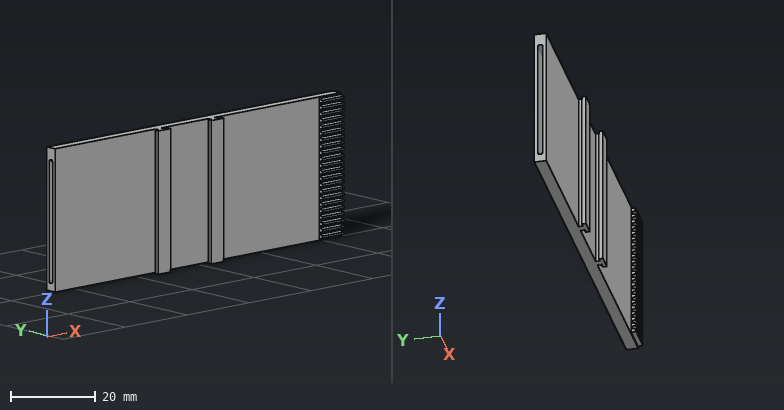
import cadquery as cq
import math

PLATE_LENGTH = 92.5
PLATE_THICKNESS = 3.0
PLATE_HEIGHT = 35.0

RAIL_CENTERS_X = (33.5, 50.6)
STEM_WIDTH = 2.0
STEM_DEPTH = 1.0
HEAD_WIDTH = 4.0
HEAD_DEPTH = 1.0

SLOT_WIDTH = 1.2
SLOT_HEIGHT = 30.1
SLOT_BOTTOM = 1.9

GRIP_LENGTH = 7.0
GRIP_END_GAP = 0.1
GRIP_DEPTH = 1.1
GRIP_BASE_DEPTH = 0.05
RIB_COUNT = 22
RIB_PITCH = 1.6
RIB_SPAN = (RIB_COUNT - 1) * RIB_PITCH
RIB_TIP_WIDTH = 0.6
RIB_FLANK_ANGLE = 15
RIB_FLANK_RUN = (GRIP_DEPTH - GRIP_BASE_DEPTH) * math.tan(math.radians(RIB_FLANK_ANGLE))
RIB_ROOT_WIDTH = RIB_TIP_WIDTH + 2 * RIB_FLANK_RUN


def front_block(center_x, width, start_depth, depth):
    """Full-height block in front of the plate, from start_depth outward."""
    return cq.Workplane("XY").box(width, depth, PLATE_HEIGHT, centered=(True, False, False)).translate(
        (center_x, -start_depth - depth, 0)
    )


def make_rail(center_x):
    """T-shaped rail: a narrow stem that carries a wider head."""
    stem = front_block(center_x, STEM_WIDTH, 0, STEM_DEPTH)
    head = front_block(center_x, HEAD_WIDTH, STEM_DEPTH, HEAD_DEPTH)
    return stem.union(head)


def make_slot_cutter():
    """Upright round-ended bar along the whole plate length."""
    slot_center_y = PLATE_THICKNESS / 2
    slot_center_z = SLOT_BOTTOM + SLOT_HEIGHT / 2
    return (
        cq.Workplane("YZ")
        .center(slot_center_y, slot_center_z)
        .slot2D(SLOT_HEIGHT, SLOT_WIDTH, 90)
        .extrude(PLATE_LENGTH)
    )


def make_plate():
    """Slotted plate with its two rails."""
    plate = cq.Workplane("XY").box(PLATE_LENGTH, PLATE_THICKNESS, PLATE_HEIGHT, centered=False)
    for center_x in RAIL_CENTERS_X:
        plate = plate.union(make_rail(center_x))
    return plate.cut(make_slot_cutter())


def make_grip():
    """Strip of flat-tipped ribs, extruded along X from its side profile."""
    first_rib_z = (PLATE_HEIGHT - RIB_SPAN) / 2
    last_rib_z = first_rib_z + RIB_SPAN
    profile = [(0, first_rib_z - RIB_ROOT_WIDTH / 2)]
    for index in range(RIB_COUNT):
        rib_z = first_rib_z + index * RIB_PITCH
        profile += [
            (-GRIP_BASE_DEPTH, rib_z - RIB_ROOT_WIDTH / 2),
            (-GRIP_DEPTH, rib_z - RIB_TIP_WIDTH / 2),
            (-GRIP_DEPTH, rib_z + RIB_TIP_WIDTH / 2),
            (-GRIP_BASE_DEPTH, rib_z + RIB_ROOT_WIDTH / 2),
        ]
    profile.append((0, last_rib_z + RIB_ROOT_WIDTH / 2))

    grip_left_x = PLATE_LENGTH - GRIP_END_GAP - GRIP_LENGTH
    return cq.Workplane("YZ", origin=(grip_left_x, 0, 0)).polyline(profile).close().extrude(GRIP_LENGTH)


plate = make_plate()
grip = make_grip()

result = cq.Compound.makeCompound([plate.val(), grip.val()])